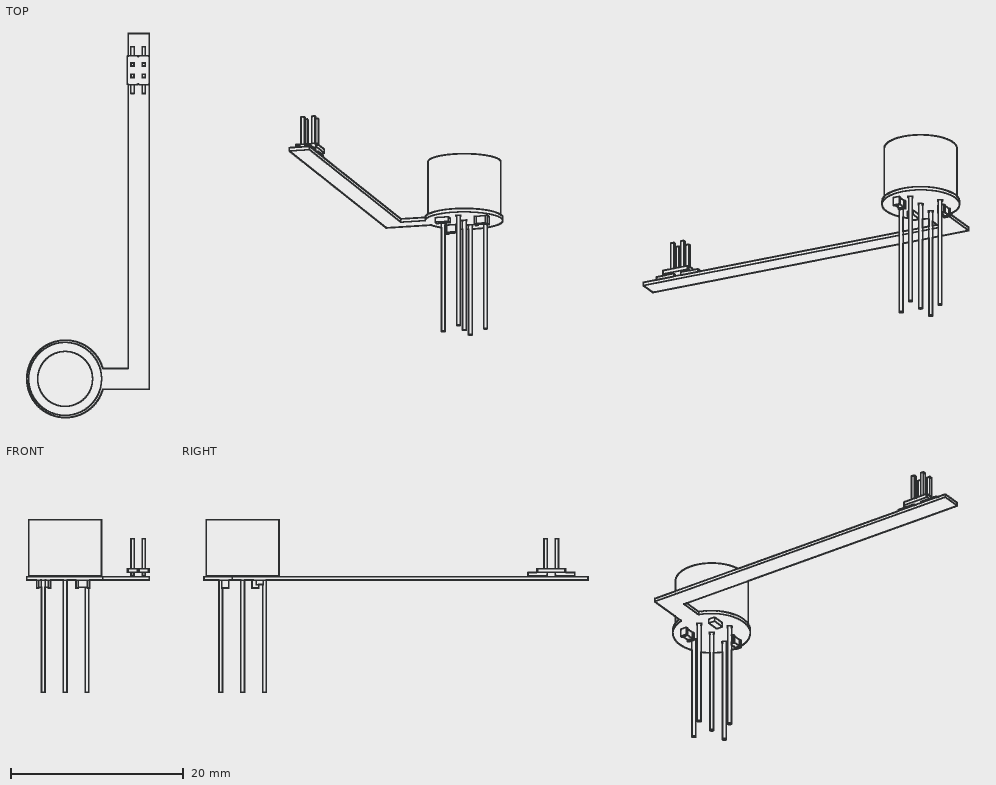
import cadquery as cq


board_thickness = 0.4
pad_diameter = 9.0
pad_sides = 64
pad_x = 0.05
board_length = 44.5
board_width = 14.2
strip_width = 2.45
tail_end_y = board_length - pad_diameter / 2
tail_right_x = pad_x - pad_diameter / 2 + board_width
lead_hole_diameter = 0.6

mount_gap = 0.1

overall_height = 20.0
lead_drop = 13.0
can_diameter = 8.45
can_bottom_z = board_thickness + mount_gap
can_top_z = overall_height - lead_drop
window_diameter = 6.35
window_depth = 0.05
lead_diameter = 0.45
lead_pitch = 2.55
lead_places = [(0, 0), (lead_pitch, 0), (-lead_pitch, 0), (0, lead_pitch), (0, -lead_pitch)]

header_pitch = 1.3
header_columns = 2
header_block_width = header_columns * header_pitch
header_block_length = 3.4
header_block_height = 0.45
header_block_bevel = 0.15
header_span = 5.47
header_end_gap = 4.25
header_x = tail_right_x - header_block_width / 2
header_y = tail_end_y - header_end_gap
pin_width = 0.4
pin_bend_radius = 0.2
pin_tip_bevel = 0.05
pin_bottom_z = board_thickness + mount_gap
pin_top_z = 4.8
block_bottom_z = pin_bottom_z + pin_width

chip_length = 1.6
chip_width = 0.8
capacitor_height = 0.95
terminal_length = 0.25
terminal_step = 0.1
capacitor_places = [(-2.5, 1.45), (2.05, -2.0)]
resistor_height = 0.55
resistor_place = (2.05, 2.0)


def box_between(x_range, y_range, z_range):
    """Box spanning the given (low, high) pairs."""
    sizes = [high - low for low, high in (x_range, y_range, z_range)]
    corner = (x_range[0], y_range[0], z_range[0])
    return cq.Workplane("XY").box(*sizes, centered=False).translate(corner)


def make_board():
    z_range = (0, board_thickness)
    pad = cq.Workplane("XY").center(pad_x, 0).polygon(pad_sides, pad_diameter).extrude(board_thickness)
    arm = box_between((0, tail_right_x), (-strip_width / 2, strip_width / 2), z_range)
    tail = box_between((tail_right_x - strip_width, tail_right_x), (-strip_width / 2, tail_end_y), z_range)
    holes = cq.Workplane("XY").pushPoints(lead_places).circle(lead_hole_diameter / 2).extrude(board_thickness)
    return pad.union(arm).union(tail).cut(holes)


def make_sensor():
    can = (
        cq.Workplane("XY", origin=(0, 0, can_bottom_z))
        .circle(can_diameter / 2)
        .extrude(can_top_z - can_bottom_z)
        .faces(">Z")
        .workplane()
        .circle(window_diameter / 2)
        .cutBlind(-window_depth)
    )
    leads = (
        cq.Workplane("XY", origin=(0, 0, -lead_drop))
        .pushPoints(lead_places)
        .circle(lead_diameter / 2)
        .extrude(lead_drop + can_bottom_z)
    )
    return can.union(leads)


def make_pin(column_x, side):
    """L-shaped square pin with a rounded bend; its foot points to +Y for side 1 and to -Y for side -1."""
    inner_y = header_pitch / 2 - pin_width / 2
    foot_end_y = header_span / 2
    half = pin_width / 2
    x_range = (column_x - half, column_x + half)
    post = box_between(x_range, (inner_y, inner_y + pin_width), (pin_bottom_z, pin_top_z))
    foot = box_between(x_range, (inner_y, foot_end_y), (pin_bottom_z, block_bottom_z))
    pin = post.union(foot).edges("|X and <Z and <Y").fillet(pin_bend_radius)
    pin = pin.faces(">Z").chamfer(pin_tip_bevel).faces(">Y").chamfer(pin_tip_bevel)
    if side < 0:
        pin = pin.mirror("XZ")
    return pin


def make_header():
    """Bevelled insulator segments with two rows of pins, centred on the header place."""
    column_xs = [(i - (header_columns - 1) / 2) * header_pitch for i in range(header_columns)]
    header = cq.Workplane("XY")
    for column_x in column_xs:
        segment = (
            cq.Workplane("XY", origin=(column_x, 0, block_bottom_z))
            .rect(header_pitch, header_block_length)
            .extrude(header_block_height)
            .edges("|Z")
            .chamfer(header_block_bevel)
        )
        header = header.union(segment)
        for side in (1, -1):
            header = header.union(make_pin(column_x, side))
    return header.translate((header_x, header_y, 0))


def make_capacitor(place):
    """Chip hanging from the board, with two end terminals thicker than its middle."""
    body_width = chip_width - 2 * terminal_step
    body_height = capacitor_height - terminal_step
    body = cq.Workplane("XY").rect(chip_length, body_width).extrude(-body_height)
    terminals = (
        cq.Workplane("XY")
        .pushPoints([(side * (chip_length - terminal_length) / 2, 0) for side in (-1, 1)])
        .rect(terminal_length, chip_width)
        .extrude(-capacitor_height)
    )
    return body.union(terminals).translate((*place, 0))


def make_resistor(place):
    return cq.Workplane("XY").center(*place).rect(chip_length, chip_width).extrude(-resistor_height)


board = make_board()
sensor = make_sensor()
header = make_header()
capacitors = [make_capacitor(place) for place in capacitor_places]
resistor = make_resistor(resistor_place)

result = cq.Compound.makeCompound(
    [
        board.val(),
        sensor.val(),
        header.val(),
        *[capacitor.val() for capacitor in capacitors],
        resistor.val(),
    ]
)